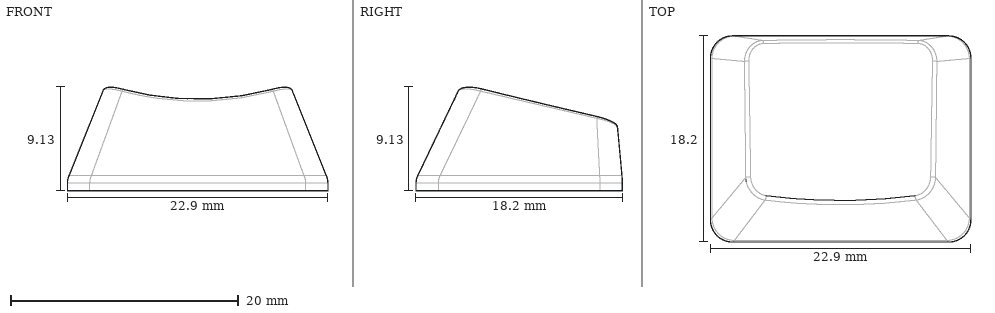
import cadquery as cq
import math

base_width = 22.92
base_depth = 18.15
skirt_height = 0.69
base_corner_radius = 1.97

shoulder_height = 0.66
shoulder_steps = 3
side_lean = 0.45
front_lean = 0.48
back_lean = 0.09

tilt_angle = 13.1
top_width = 16.32
top_depth = 13.9
top_corner_radius = 1.83
top_center_y = 1.8
top_center_z = 8.07

valley_angle = 12.1
dish_valley_height = 6.92
dish_reach = 13.75
dish_front_radius = 18.34
dish_back_radius = 35.75
rim_radius = 0.35

tilt = math.radians(tilt_angle)
tilted_up = cq.Vector(0, math.sin(tilt), math.cos(tilt))


def outline(width, depth, radius, plane):
    """Rounded rectangle centred on a plane."""
    shape = cq.Sketch().rect(width, depth).vertices().fillet(radius)
    return shape.moved(plane.location)


def shoulder_outline(rise):
    """Outline at a given rise above the skirt; the inset grows as a parabola."""
    bend = rise**2 / (2 * shoulder_height)
    width = base_width - 2 * side_lean * bend
    depth = base_depth - (front_lean + back_lean) * bend
    center_y = (front_lean - back_lean) * bend / 2
    plane = cq.Plane.XY(origin=(0, center_y, skirt_height + rise))
    return outline(width, depth, base_corner_radius, plane)


def make_skirt():
    foot = outline(base_width, base_depth, base_corner_radius, cq.Plane.XY())
    return cq.Workplane("XY").placeSketch(foot).extrude(skirt_height)


def make_shoulder():
    step = shoulder_height / shoulder_steps
    sections = [shoulder_outline(i * step) for i in range(shoulder_steps + 1)]
    return cq.Workplane("XY").placeSketch(*sections).loft()


def make_body():
    top_plane = cq.Plane(
        origin=(0, top_center_y, top_center_z), xDir=(1, 0, 0), normal=tilted_up
    )
    top = outline(top_width, top_depth, top_corner_radius, top_plane)
    return cq.Workplane("XY").placeSketch(shoulder_outline(shoulder_height), top).loft(ruled=True)


def dish_section(distance, radius):
    """Circle across the dish, resting on the valley line at a distance along it."""
    valley = math.radians(valley_angle)
    along = cq.Vector(0, math.cos(valley), -math.sin(valley))
    up = cq.Vector(0, math.sin(valley), math.cos(valley))
    center = cq.Vector(0, 0, dish_valley_height) + along * distance + up * radius
    return cq.Wire.makeCircle(radius, center, along)


def make_dish():
    """Cone-like scoop that is flatter towards +Y."""
    front = dish_section(-dish_reach, dish_front_radius)
    back = dish_section(dish_reach, dish_back_radius)
    return cq.Workplane(obj=cq.Solid.makeLoft([front, back], True))


keycap = make_skirt().union(make_shoulder()).union(make_body()).cut(make_dish())

dish_face = keycap.faces(cq.selectors.NearestToPointSelector((0, 0, dish_valley_height)))
result = dish_face.edges().fillet(rim_radius)